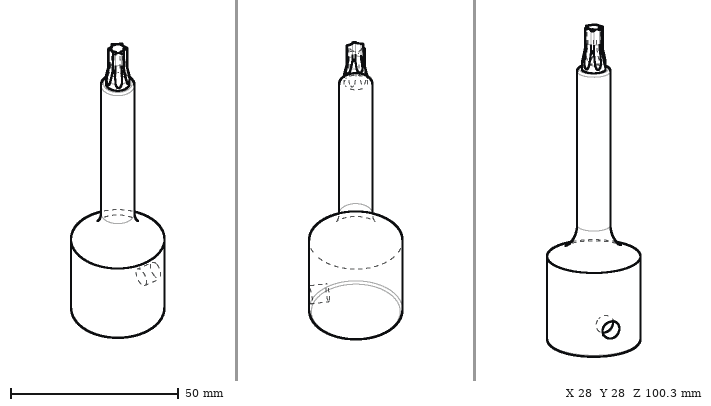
import cadquery as cq
import math

total_height = 100.3
barrel_radius = 28.0 / 2
base_rounding = 0.7
shank_radius = 5.0
shank_top_z = 86.9
shank_rounding = 0.7
shoulder_top_z = 37.0
shoulder_arc_radius = 10.0

side_hole_diameter = 5.4
side_hole_depth = 5.4
side_hole_z = 8.4

lobe_count = 6
lobe_radius = 5.7 / 2
lobe_tip_radius = 0.46
root_radius = 4.1 / 2
neck_radius = 7.1 / 2
neck_top_z = 89.3
cone_top_radius = 4.7 / 2
cone_top_z = 95.3
flute_end_z = 87.9
tip_flat_radius = 1.9
tip_bevel_angle = 18.0

half_step = math.pi / lobe_count
lobe_center = lobe_radius - lobe_tip_radius
flute_radius = (
    root_radius**2 + lobe_center**2 - lobe_tip_radius**2
    - 2 * root_radius * lobe_center * math.cos(half_step)
) / (2 * (lobe_tip_radius - root_radius + lobe_center * math.cos(half_step)))
flute_center = root_radius + flute_radius

runout_length = cone_top_z - flute_end_z
runout_depth = neck_radius - root_radius
runout_radius = (runout_length**2 + runout_depth**2) / (2 * runout_depth)
runout_sweep = 40.0


def polar(radius, angle):
    """Point at a radius and an angle in radians."""
    return (radius * math.cos(angle), radius * math.sin(angle))


def revolve_profile(profile):
    """Turn a closed radius-height profile about the Z axis."""
    return profile.close().revolve(360, (0, 0, 0), (0, 1, 0))


def make_socket():
    arc_center_r = shank_radius + shoulder_arc_radius
    end_angle = -math.acos((barrel_radius - arc_center_r) / shoulder_arc_radius)
    mid_angle = (end_angle - math.pi) / 2
    mid_r, mid_drop = polar(shoulder_arc_radius, mid_angle)
    end_drop = shoulder_arc_radius * math.sin(end_angle)

    body = revolve_profile(
        cq.Workplane("XZ")
        .moveTo(0, 0)
        .lineTo(barrel_radius - base_rounding, 0)
        .radiusArc((barrel_radius, base_rounding), -base_rounding)
        .lineTo(barrel_radius, shoulder_top_z + end_drop)
        .threePointArc(
            (arc_center_r + mid_r, shoulder_top_z + mid_drop),
            (shank_radius, shoulder_top_z),
        )
        .lineTo(shank_radius, shank_top_z - shank_rounding)
        .radiusArc((shank_radius - shank_rounding, shank_top_z), -shank_rounding)
        .lineTo(0, shank_top_z)
    )
    side_hole = (
        cq.Workplane("XZ", origin=(0, barrel_radius, side_hole_z))
        .circle(side_hole_diameter / 2)
        .extrude(side_hole_depth)
    )
    return body.cut(side_hole)


def make_lobe_blank():
    """Prism of six rounded lobes, joined by flats and beveled at the tip."""
    flute_x, flute_y = polar(flute_center, half_step)
    join_share = lobe_tip_radius / (lobe_tip_radius + flute_radius)
    join_x = lobe_center + join_share * (flute_x - lobe_center)
    join_y = join_share * flute_y
    join_radius = math.hypot(join_x, join_y)
    join_angle = math.atan2(join_y, join_x)

    outline = cq.Workplane("XY", origin=(0, 0, shank_top_z)).moveTo(*polar(join_radius, -join_angle))
    for i in range(lobe_count):
        lobe_angle = 2 * half_step * i
        if i > 0:
            outline = outline.lineTo(*polar(join_radius, lobe_angle - join_angle))
        outline = outline.threePointArc(
            polar(lobe_radius, lobe_angle),
            polar(join_radius, lobe_angle + join_angle),
        )
    prism = outline.close().extrude(total_height - shank_top_z)

    bevel_drop = (neck_radius - tip_flat_radius) * math.tan(math.radians(tip_bevel_angle))
    tip_envelope = revolve_profile(
        cq.Workplane("XZ")
        .moveTo(0, shank_top_z)
        .lineTo(neck_radius, shank_top_z)
        .lineTo(neck_radius, total_height - bevel_drop)
        .lineTo(tip_flat_radius, total_height)
        .lineTo(0, total_height)
    )
    return prism.intersect(tip_envelope)


def make_neck():
    """Round neck with a cone that runs out into the lobes."""
    return revolve_profile(
        cq.Workplane("XZ")
        .moveTo(0, shank_top_z)
        .lineTo(neck_radius, shank_top_z)
        .lineTo(neck_radius, neck_top_z)
        .lineTo(cone_top_radius, cone_top_z)
        .lineTo(0, cone_top_z)
    )


def make_flute_cutter(angle):
    """Round flute, straight along the tip and curving outward to run out on the neck."""
    start = cq.Workplane("XY", origin=(flute_center, 0, cone_top_z))
    straight = start.circle(flute_radius).extrude(total_height - cone_top_z)
    bend_center = runout_radius - flute_radius
    runout = start.circle(flute_radius).revolve(runout_sweep, (bend_center, 0, 0), (bend_center, -1, 0))
    return straight.union(runout).rotate((0, 0, 0), (0, 0, 1), math.degrees(angle))


def make_bit():
    bit = make_neck().union(make_lobe_blank())
    for i in range(lobe_count):
        bit = bit.cut(make_flute_cutter(half_step * (2 * i + 1)))
    return bit


socket = make_socket()
bit = make_bit()
result = cq.Compound.makeCompound([socket.solids().val(), bit.solids().val()])